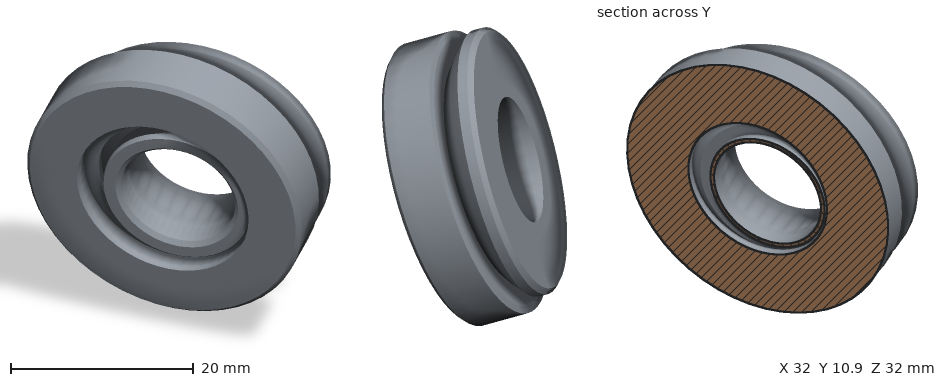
import cadquery as cq
import math


ball_radius = 20.5
pivot_y = 22.25
swing_angle = 3.5
pitch_angle = 0.5

ring_radius = 16.0
ring_thickness = 6.15
ring_front_chamfer = 0.5
ring_back_chamfer_width = 0.8
ring_back_chamfer_depth = 0.2
counterbore_radius = 10.0
counterbore_depth = 2.4
ring_hole_radius = 8.45

rim_radius = 15.0
rim_thickness = 1.15
rim_chamfer = 0.55
shoulder_radius = 8.4
neck_radius = 7.0
lip_radius = 8.5
lip_tip_radius = 8.35
lip_length = 0.35
lip_taper_length = 0.4
tip_height = 21.45
bore_radius = 6.5
bore_length = 2.6
bore_chamfer = 0.5
bore_back_radius = 7.05


def ball_height(radius):
    """Distance from the pivot to the ball surface, along the axis, at a given radius."""
    return math.sqrt(ball_radius**2 - radius**2)


def ball_arc_middle(radius_a, radius_b):
    """Radius and height of a point on the ball surface between two radii."""
    radius = (radius_a + radius_b) / 2
    return radius, ball_height(radius)


def make_seat_ring():
    """Ring with a front counterbore and a spherical seat opening at the back."""
    hole_end_y = pivot_y - ball_height(ring_hole_radius)
    seat_radius = math.sqrt(ball_radius**2 - (pivot_y - ring_thickness) ** 2)
    middle_radius, middle_height = ball_arc_middle(ring_hole_radius, seat_radius)
    profile = (
        cq.Workplane("ZY")
        .moveTo(counterbore_radius, 0)
        .lineTo(ring_radius - ring_front_chamfer, 0)
        .lineTo(ring_radius, ring_front_chamfer)
        .lineTo(ring_radius, ring_thickness - ring_back_chamfer_depth)
        .lineTo(ring_radius - ring_back_chamfer_width, ring_thickness)
        .lineTo(seat_radius, ring_thickness)
        .threePointArc((middle_radius, pivot_y - middle_height), (ring_hole_radius, hole_end_y))
        .lineTo(ring_hole_radius, counterbore_depth)
        .lineTo(counterbore_radius, counterbore_depth)
        .close()
    )
    return profile.revolve(360, (0, 0, 0), (0, 1, 0))


def make_ball_washer():
    """Chamfered disc with a ball underside ending in a flat shoulder, then a hollow neck with a snap lip."""
    rim_height = ball_height(rim_radius)
    back_height = rim_height - rim_thickness - rim_chamfer
    shoulder_height = ball_height(shoulder_radius)
    lip_front_height = tip_height - lip_taper_length
    lip_back_height = lip_front_height - lip_length
    bore_end_height = tip_height - bore_chamfer - bore_length
    outline = (
        cq.Workplane("XY")
        .moveTo(-bore_back_radius, -back_height)
        .lineTo(-(rim_radius - rim_chamfer), -back_height)
        .lineTo(-rim_radius, -(back_height + rim_chamfer))
        .lineTo(-rim_radius, -rim_height)
    )
    middle_radius, middle_height = ball_arc_middle(rim_radius, shoulder_radius)
    profile = (
        outline.threePointArc((-middle_radius, -middle_height), (-shoulder_radius, -shoulder_height))
        .lineTo(-neck_radius, -shoulder_height)
        .lineTo(-neck_radius, -lip_back_height)
        .lineTo(-lip_radius, -lip_back_height)
        .lineTo(-lip_radius, -lip_front_height)
        .lineTo(-lip_tip_radius, -tip_height)
        .lineTo(-(bore_radius + bore_chamfer), -tip_height)
        .lineTo(-bore_radius, -(tip_height - bore_chamfer))
        .lineTo(-bore_radius, -bore_end_height)
        .close()
    )
    washer = profile.revolve(360, (0, 0, 0), (0, 1, 0))
    tilted = washer.rotate((0, 0, 0), (0, 0, 1), swing_angle).rotate((0, 0, 0), (1, 0, 0), pitch_angle)
    return tilted.translate((0, pivot_y, 0))


seat_ring = make_seat_ring()
ball_washer = make_ball_washer()

result = cq.Compound.makeCompound([seat_ring.val(), ball_washer.val()])